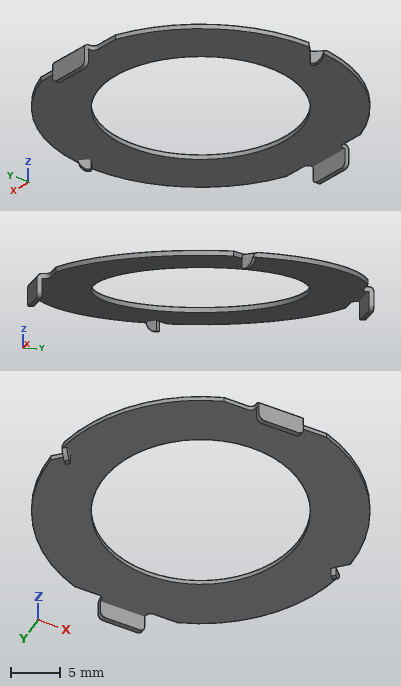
import cadquery as cq
import math

thickness = 0.52
outer_radius = 17.0
bore_radius = 11.0
flat_distance = 15.97

tab_reach = 17.25
tab_width = 5.05
tab_depth = 2.5
tab_corner_radius = 0.62
relief_radius = 0.6

bend_inner_radius = 0.017
bend_outer_radius = bend_inner_radius + thickness

notch_angles = (135, -45)
notch_edge = outer_radius / math.sqrt(2)
bend_line = 9.97
flap_depth = 1.55
flap_root_length = 1.3
flap_tip_length = 0.52
flap_edge_radius = 1.55


def make_ring():
    disc = cq.Workplane("XY").circle(outer_radius).extrude(-thickness)
    trim = cq.Workplane("XY").rect(2 * outer_radius, 2 * flat_distance).extrude(-thickness)
    bore = cq.Workplane("XY").circle(bore_radius).extrude(-thickness)
    return disc.intersect(trim).cut(bore)


def bent_section(plane, start, reach, depth):
    """L-shaped sheet outline, running outward from start and then down."""
    inner_face = reach - thickness
    return (
        cq.Workplane(plane)
        .moveTo(start, 0)
        .lineTo(reach - bend_outer_radius, 0)
        .radiusArc((reach, -bend_outer_radius), bend_outer_radius)
        .lineTo(reach, -depth)
        .lineTo(inner_face, -depth)
        .lineTo(inner_face, -bend_outer_radius)
        .radiusArc((inner_face - bend_inner_radius, -thickness), -bend_inner_radius)
        .lineTo(start, -thickness)
        .close()
    )


def make_tab():
    start = (bore_radius + flat_distance) / 2
    tab = bent_section("YZ", start, tab_reach, tab_depth).extrude(tab_width / 2, both=True)
    tip_corners = cq.selectors.BoxSelector(
        (-tab_width, 0, -tab_depth - thickness),
        (tab_width, 2 * tab_reach, -tab_depth + thickness),
    )
    tab = tab.edges("|Y").edges(tip_corners).fillet(tab_corner_radius)
    for side in (-1, 1):
        corner = side * tab_width / 2
        relief = (
            cq.Workplane("XY")
            .moveTo(corner, flat_distance)
            .lineTo(corner + side * relief_radius, flat_distance)
            .radiusArc((corner, flat_distance + relief_radius), side * relief_radius)
            .close()
            .extrude(-thickness)
        )
        tab = tab.union(relief)
    return tab


def make_notch():
    return (
        cq.Workplane("XY")
        .moveTo(bend_line, notch_edge)
        .rect(outer_radius, outer_radius, centered=False)
        .extrude(-thickness)
    )


def make_flap():
    start = bend_line - thickness
    reach = bend_line + bend_outer_radius
    bent_sheet = (
        bent_section("XZ", start, reach, flap_depth)
        .extrude(-outer_radius)
        .translate((0, notch_edge, 0))
    )
    rim = cq.Workplane("XY").circle(outer_radius).extrude(-flap_depth)
    side_outline = (
        cq.Workplane("YZ")
        .moveTo(notch_edge, 0)
        .lineTo(outer_radius, 0)
        .lineTo(outer_radius, -thickness)
        .lineTo(notch_edge + flap_root_length, -thickness)
        .radiusArc((notch_edge + flap_tip_length, -flap_depth), flap_edge_radius)
        .lineTo(notch_edge, -flap_depth)
        .close()
        .extrude(outer_radius)
    )
    return bent_sheet.intersect(rim).intersect(side_outline)


result = make_ring()

tab = make_tab()
for angle in (0, 180):
    result = result.union(tab.rotate((0, 0, 0), (0, 0, 1), angle))

notch = make_notch()
flap = make_flap()
for angle in notch_angles:
    result = result.cut(notch.rotate((0, 0, 0), (0, 0, 1), angle))
    result = result.union(flap.rotate((0, 0, 0), (0, 0, 1), angle))